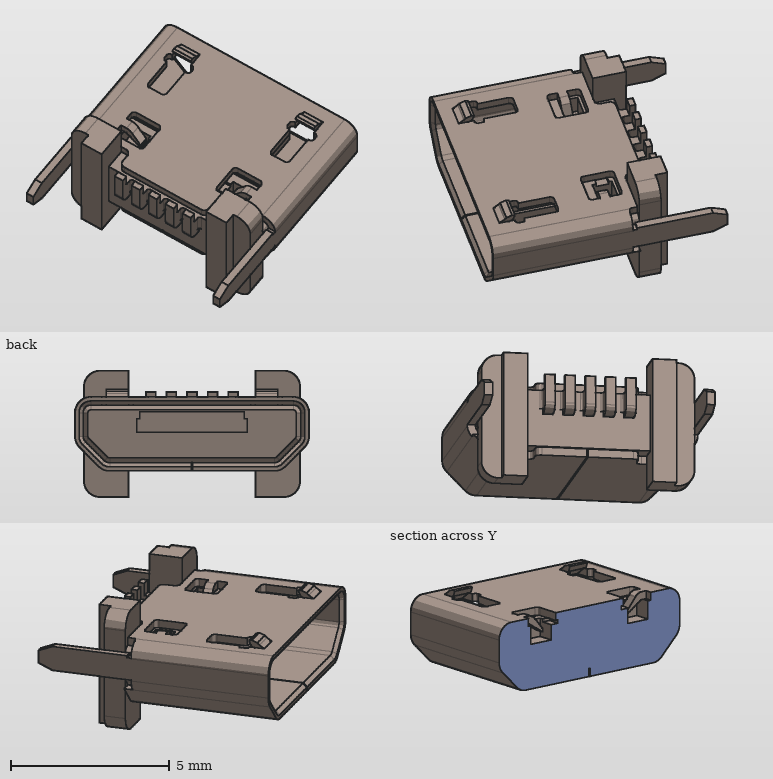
import cadquery as cq
import math


half_width = 3.7
half_height = 1.17
sheet = 0.26
bend_radius = 0.5
slant_angle = 45
slant_corner_z = -0.282
mouth_y = 3.85
shell_back_y = -1.03
seam_width = 0.04
mouth_lead_in = 0.13

lip_half_width = 1.65
lip_back_y = -1.64
lip_radius = 0.18

notch_front_y = -0.745
notch_inner_x = 3.19
notch_bottom_z = -0.43
notch_radius = 0.1

leg_top_z = 0.755
leg_bottom_z = -0.055
leg_root_top_z = 0.69
leg_root_back_y = -0.88
leg_tip_y = -3.85
leg_taper_length = 0.48
leg_taper_inset = 0.2

housing_front_y = 0.42
housing_front_chamfer = 0.15
wall_back_y = -1.74
flange_half_height = 2.0
flange_inner_x = 2.0
flange_outer_x = 3.42
flange_radius = 0.52
post_outer_x = 2.775
post_back_y = -2.13

tongue_tip_y = 2.91
tongue_half_width = 1.75
tongue_bottom_z = 0.05
tongue_shoulder_z = 0.48
tongue_shoulder_width = 0.1
tongue_top_z = 0.7

pin_count = 5
pin_pitch = 0.65
pin_width = 0.32
pin_thickness = 0.2
pin_front_y = -2.2
pin_top_z = 1.33
pin_bottom_z = 0.14
pin_bend_radius = 0.29
pin_root_bottom_z = 0.305
pin_flare = 0.09

latch_x = 2.355
latch_width = 0.71
latch_root_y = 3.37
latch_ramp_y = 3.2
latch_ramp_z = 1.28
latch_bend_y = 3.14
latch_bend_z = 1.34
latch_crest_y = 2.95
latch_crest_z = 1.406
latch_tip_y = 2.86
latch_tip_z = 1.38
latch_heel_y = 2.93
latch_heel_z = 1.2
latch_underside_y = 3.04
latch_underside_z = 1.16
slot_front_y = 2.86
slot_back_y = 1.4
slot_corner = 0.13
slot_head_width = 1.005
slot_head_length = 0.31
slot_head_radius = 0.1

window_inner_x = 1.39
window_outer_x = 2.49
window_front_y = 0.35
window_back_y = -0.745
window_radius = 0.12
tab_root_x = 2.29
tab_bend_x = 2.06
tab_tip_x = 1.74
tab_front_y = -0.01
tab_back_y = -0.33
tab_bend_drop = 0.12
tab_bend_middle_drop = 0.03
tab_tip_drop = 0.5
tab_end_height = 0.12
pocket_inner_x = 1.58
pocket_outer_x = 2.38
pocket_back_y = -0.645
pocket_depth = 0.6
channel_front_y = -0.14
channel_back_y = -0.55
channel_depth = 0.1
channel_end_x = 1.3

inner_half_height = half_height - sheet


def box(x0, x1, y0, y1, z0, z1):
    """Box between two opposite corners, the corners given in any order."""
    size = (abs(x1 - x0), abs(y1 - y0), abs(z1 - z0))
    center = ((x0 + x1) / 2, (y0 + y1) / 2, (z0 + z1) / 2)
    return cq.Workplane("XY").box(*size).translate(center)


def both_sides(solid):
    """The solid together with its mirror image across X = 0."""
    return solid.union(solid.mirror("YZ"))


def shell_section(front_y, back_y, inset):
    """Prism along Y with the shell's outer outline moved inward by inset."""
    slant_run = (slant_corner_z + half_height) / math.tan(math.radians(slant_angle))
    floor_half_width = half_width - slant_run
    corners = [
        (half_width, half_height),
        (half_width, slant_corner_z),
        (floor_half_width, -half_height),
        (-floor_half_width, -half_height),
        (-half_width, slant_corner_z),
        (-half_width, half_height),
    ]
    section = cq.Workplane("XZ", origin=(0, front_y, 0)).polyline(corners).close()
    section = section.offset2D(-bend_radius, "intersection").offset2D(bend_radius - inset, "arc")
    return section.extrude(front_y - back_y)


def make_rear_lips():
    """Upper and lower plates that reach over the rear wall, with rounded steps."""
    r = lip_radius
    w = lip_half_width
    root_y = shell_back_y + sheet
    diagonal = r * (1 - math.sqrt(0.5))
    outline = (
        cq.Workplane("XY")
        .moveTo(-w - r, root_y)
        .lineTo(-w - r, shell_back_y)
        .threePointArc((-w - diagonal, shell_back_y - diagonal), (-w, shell_back_y - r))
        .lineTo(-w, lip_back_y + r)
        .threePointArc((-w + diagonal, lip_back_y + diagonal), (-w + r, lip_back_y))
        .lineTo(w - r, lip_back_y)
        .threePointArc((w - diagonal, lip_back_y + diagonal), (w, lip_back_y + r))
        .lineTo(w, shell_back_y - r)
        .threePointArc((w + diagonal, shell_back_y - diagonal), (w + r, shell_back_y))
        .lineTo(w + r, root_y)
        .close()
        .extrude(sheet)
    )
    upper = outline.translate((0, 0, inner_half_height))
    lower = outline.translate((0, 0, -half_height))
    return upper.union(lower)


def latch_cut():
    """Slot in the top plate behind a latch spring, with a wider head."""
    body = box(
        latch_x - latch_width / 2, latch_x + latch_width / 2, slot_back_y, latch_root_y, 0, half_height
    )
    body = body.edges("|Z and <Y").fillet(slot_corner)
    head = box(
        latch_x - slot_head_width / 2, latch_x + slot_head_width / 2,
        slot_front_y - slot_head_length, slot_front_y, 0, half_height,
    )
    return body.union(head.edges("|Z").fillet(slot_head_radius))


def make_latch():
    """Spring bent up out of the top plate, with its free end turned over a crest."""
    outline = [
        (latch_root_y, half_height),
        (latch_ramp_y, latch_ramp_z),
        (latch_bend_y, latch_bend_z),
        (latch_crest_y, latch_crest_z),
        (latch_tip_y, latch_tip_z),
        (latch_heel_y, latch_heel_z),
        (latch_underside_y, latch_underside_z),
        (latch_root_y, inner_half_height),
    ]
    spring = cq.Workplane("YZ").polyline(outline).close().extrude(latch_width)
    return spring.translate((latch_x - latch_width / 2, 0, 0))


def window_cut():
    """Window in the top plate, leaving the root of the retention tab."""
    window = box(window_inner_x, window_outer_x, window_back_y, window_front_y, 0, half_height)
    window = window.edges("|Z").fillet(window_radius)
    root = box(tab_root_x, window_outer_x, tab_back_y, tab_front_y, 0, half_height)
    return window.cut(root)


def make_tab():
    """Retention tab bent down from the outer edge of its window."""
    bend_z = half_height - tab_bend_drop
    tip_z = half_height - tab_tip_drop
    mid_x = (tab_root_x + tab_bend_x) / 2
    tab = (
        cq.Workplane("XZ", origin=(0, tab_front_y, 0))
        .moveTo(tab_root_x, half_height)
        .threePointArc((mid_x, half_height - tab_bend_middle_drop), (tab_bend_x, bend_z))
        .lineTo(tab_tip_x, tip_z)
        .lineTo(tab_tip_x, tip_z - tab_end_height)
        .lineTo(tab_root_x, inner_half_height)
        .close()
        .extrude(tab_front_y - tab_back_y)
    )
    return tab


def make_leg():
    """Flat leg continuing the side of the shell to a tapered tip."""
    taper_y = leg_tip_y + leg_taper_length
    outline = [
        (notch_front_y, leg_bottom_z),
        (notch_front_y, leg_root_top_z),
        (leg_root_back_y, leg_root_top_z),
        (leg_root_back_y, leg_top_z),
        (taper_y, leg_top_z),
        (leg_tip_y, leg_top_z - leg_taper_inset),
        (leg_tip_y, leg_bottom_z + leg_taper_inset),
        (taper_y, leg_bottom_z),
    ]
    leg = cq.Workplane("YZ").polyline(outline).close().extrude(sheet)
    return leg.translate((half_width - sheet, 0, 0))


def make_shell():
    """Hollow shell with its slots, windows, notches, seam and rear lips."""
    tube = shell_section(mouth_y, shell_back_y, 0)
    cavity = shell_section(mouth_y, shell_back_y, sheet)
    tube = tube.cut(cavity)
    tube = tube.faces(">Y").wires(cq.selectors.LengthNthSelector(0)).chamfer(mouth_lead_in)
    notch = box(notch_inner_x, half_width, shell_back_y, notch_front_y, notch_bottom_z, half_height)
    notch = notch.edges("|Z and <X and >Y").fillet(notch_radius)
    seam = box(
        -seam_width / 2, seam_width / 2, lip_back_y, mouth_y, -half_height, -inner_half_height
    )
    shell = tube.cut(both_sides(notch)).union(make_rear_lips()).cut(seam)
    return shell.cut(both_sides(latch_cut())).cut(both_sides(window_cut()))


def tab_pocket():
    """Pocket in the housing under a window, with a shallow channel on its inner side."""
    pocket = box(
        pocket_inner_x, pocket_outer_x, pocket_back_y, tab_front_y,
        inner_half_height - pocket_depth, inner_half_height,
    )
    channel = box(
        channel_end_x, pocket_inner_x, channel_back_y, channel_front_y,
        inner_half_height - channel_depth, inner_half_height,
    )
    return pocket.union(channel)


def make_housing():
    """Insulator filling the rear of the shell, with two tall flanges and posts."""
    core = shell_section(housing_front_y, shell_back_y, sheet)
    core = core.faces(">Y").edges(">Z").chamfer(housing_front_chamfer)
    core = core.cut(both_sides(tab_pocket()))
    wall = box(
        -flange_inner_x, flange_inner_x, wall_back_y, shell_back_y, -inner_half_height, inner_half_height
    )
    flange = box(
        flange_inner_x, flange_outer_x, wall_back_y, shell_back_y, -flange_half_height, flange_half_height
    )
    flange = flange.edges("|Y and >X").fillet(flange_radius)
    post = box(
        flange_inner_x, post_outer_x, post_back_y, wall_back_y, -flange_half_height, flange_half_height
    )
    return core.union(wall).union(both_sides(flange.union(post)))


def make_tongue():
    """Tongue reaching toward the mouth, with a shoulder along both sides."""
    root_y = housing_front_y - housing_front_chamfer
    lower_half = tongue_half_width
    upper_half = lower_half - tongue_shoulder_width
    lower = box(
        -lower_half, lower_half, root_y, tongue_tip_y, tongue_bottom_z, tongue_shoulder_z
    )
    upper = box(
        -upper_half, upper_half, root_y, tongue_tip_y, tongue_shoulder_z, tongue_top_z
    )
    return lower.union(upper)


def make_pin():
    """Solder pin at X = 0: a root on the rear wall and an upright blade, joined by a bend."""
    blade_back_y = pin_front_y + pin_thickness
    bend_inset = pin_bend_radius * (1 - math.sqrt(0.5))
    blade = (
        cq.Workplane("YZ")
        .moveTo(wall_back_y, inner_half_height)
        .lineTo(blade_back_y, inner_half_height)
        .lineTo(blade_back_y, pin_top_z)
        .lineTo(pin_front_y, pin_top_z)
        .lineTo(pin_front_y, pin_bottom_z + pin_bend_radius)
        .threePointArc(
            (pin_front_y + bend_inset, pin_bottom_z + bend_inset),
            (pin_front_y + pin_bend_radius, pin_bottom_z),
        )
        .lineTo(wall_back_y, pin_bottom_z)
        .close()
        .extrude(pin_width / 2, both=True)
    )
    half = pin_width / 2
    flare_tip_y = wall_back_y - pin_flare
    flare_inset = pin_flare * (1 - math.sqrt(0.5))
    flare = (
        cq.Workplane("XY", origin=(0, 0, pin_root_bottom_z))
        .moveTo(0, wall_back_y)
        .lineTo(half + pin_flare, wall_back_y)
        .threePointArc((half + flare_inset, wall_back_y - flare_inset), (half, flare_tip_y))
        .lineTo(0, flare_tip_y)
        .close()
        .extrude(inner_half_height - pin_root_bottom_z)
    )
    return blade.union(both_sides(flare))


result = make_shell().union(make_housing()).union(make_tongue())
for feature in (make_latch(), make_tab(), make_leg()):
    result = result.union(both_sides(feature))
for index in range(pin_count):
    pin_x = (index - (pin_count - 1) / 2) * pin_pitch
    result = result.union(make_pin().translate((pin_x, 0, 0)))